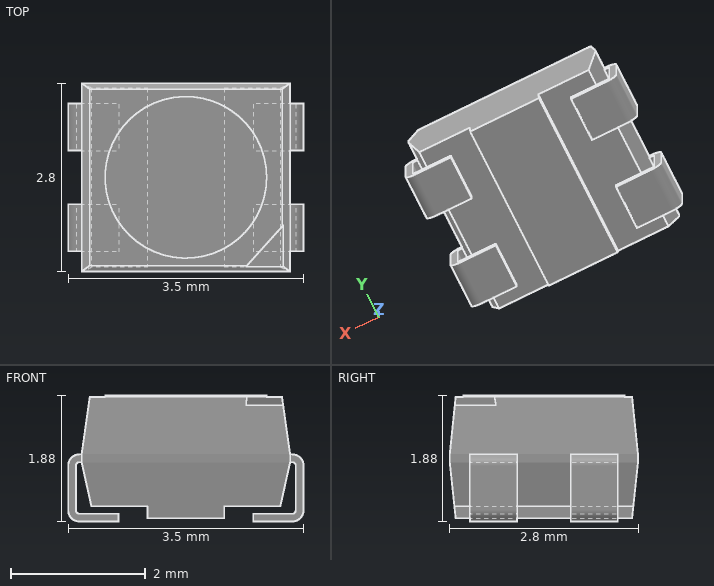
import cadquery as cq

lead_thickness = 0.12
total_height = 1.88
disc_height = 0.028
body_top = total_height - disc_height
band_top = 1.0
band_bottom = band_top - lead_thickness
body_bottom = 0.228
pedestal_bottom = 0.05

band_length, band_width = 3.1, 2.8
top_length, top_width = 2.86, 2.625
bottom_length = 2.81
pedestal_length = 1.14
pedestal_width = 2.625

disc_diameter = 2.4

mark_depth = 0.122
mark_length_x = 0.553
mark_length_y = 0.612
mark_overrun = 0.07

lead_span = 3.5
lead_width = 0.7
lead_pitch = 1.498
foot_length = 0.752
bend_inner_radius = 0.05
bend_outer_radius = bend_inner_radius + lead_thickness
lead_embed = 0.175


def symmetric_prism(plane, half_outline, depth):
    """Mirror (half width, height) points about Z and extrude to both sides of the plane."""
    mirrored = [(-x, z) for x, z in reversed(half_outline)]
    return cq.Workplane(plane).polyline(half_outline + mirrored).close().extrude(depth / 2, both=True)


def make_body():
    """Intersect the tapered X-Z and Y-Z profiles; the pedestal keeps the taper along Y."""
    length_profile = [
        (pedestal_length / 2, pedestal_bottom),
        (pedestal_length / 2, body_bottom),
        (bottom_length / 2, body_bottom),
        (band_length / 2, band_bottom),
        (band_length / 2, band_top),
        (top_length / 2, body_top),
    ]
    width_profile = [
        (pedestal_width / 2, pedestal_bottom),
        (band_width / 2, band_bottom),
        (band_width / 2, band_top),
        (top_width / 2, body_top),
    ]
    along_y = symmetric_prism("XZ", length_profile, band_width)
    along_x = symmetric_prism("YZ", width_profile, band_length)
    return along_y.intersect(along_x)


def make_corner_mark():
    """Triangular cutter whose two straight sides run past the sloping side faces."""
    taper_fraction = mark_depth / (body_top - band_top)
    corner_x = (top_length + (band_length - top_length) * taper_fraction) / 2
    corner_y = -(top_width + (band_width - top_width) * taper_fraction) / 2
    start_x = corner_x - mark_length_x
    start_y = corner_y + mark_length_y
    run_x = mark_overrun * mark_length_x / mark_length_y
    run_y = mark_overrun * mark_length_y / mark_length_x
    return (
        cq.Workplane("XY", origin=(0, 0, body_top - mark_depth))
        .moveTo(start_x - run_x, corner_y - mark_overrun)
        .lineTo(corner_x + mark_overrun, corner_y - mark_overrun)
        .lineTo(corner_x + mark_overrun, start_y + run_y)
        .close()
        .extrude(mark_depth)
    )


def make_disc():
    return cq.Workplane("XY", origin=(0, 0, body_top)).circle(disc_diameter / 2).extrude(disc_height)


def make_lead(y_centre):
    """Lead on the +X side: out of the band, down, and back under the body."""
    outer_x = lead_span / 2
    inner_x = outer_x - lead_thickness
    arm_start_x = band_length / 2 - lead_embed
    foot_end_x = outer_x - foot_length

    def bent_block(start_x, end_x, bottom, top, radius):
        centre = ((start_x + end_x) / 2, y_centre, (bottom + top) / 2)
        block = cq.Workplane("XY").box(end_x - start_x, lead_width, top - bottom)
        return block.edges("|Y and >X").fillet(radius).translate(centre)

    shell = bent_block(foot_end_x, outer_x, 0, band_top, bend_outer_radius)
    hollow = bent_block(
        foot_end_x - lead_thickness, inner_x, lead_thickness, band_bottom, bend_inner_radius
    )
    arm_trim = cq.Workplane("XY").box(
        arm_start_x - foot_end_x, lead_width, lead_thickness, centered=(False, True, False)
    ).translate((foot_end_x, y_centre, band_bottom))
    return shell.cut(hollow).cut(arm_trim)


result = make_body().cut(make_corner_mark()).union(make_disc())
for y_centre in (-lead_pitch / 2, lead_pitch / 2):
    lead = make_lead(y_centre)
    result = result.union(lead).union(lead.mirror("YZ"))